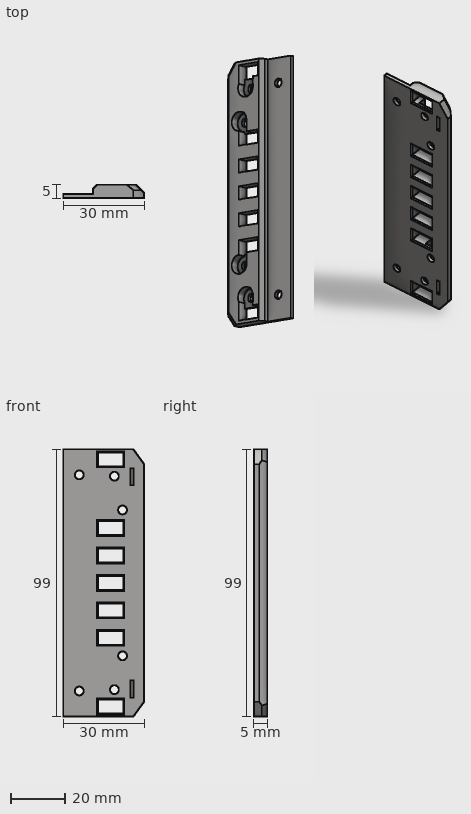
import cadquery as cq

LENGTH = 99.0
WIDTH = 30.0
THICKNESS = 5.0
MID_Z = LENGTH / 2

FLANGE_WIDTH = 11.0
FLANGE_THICKNESS = 1.6
BAR_LEFT_CHAMFER = 1.5
BAR_RIGHT_CHAMFER = 3.0

CORNER_X = 4.0
CORNER_Z = 5.5
CORNER_BACK_CHAMFER = 2.0

WINDOW_X = 17.6
WINDOW_WIDTH = 9.2
WINDOW_HEIGHT = 5.0
WINDOW_RIM = 0.5
WINDOW_PITCH = 10.16
WINDOW_ROW_COUNT = 5
ROW_END_OFFSET = (WINDOW_ROW_COUNT - 1) / 2 * WINDOW_PITCH
END_WINDOW_PITCHES = 4.5
END_WINDOW_OFFSET = END_WINDOW_PITCHES * WINDOW_PITCH

HOLE_DIAMETER = 3.2
FLANGE_HOLE_X = 6.0
FLANGE_HOLE_OFFSET = 40.0
OUTER_HOLE_X = 19.0
OUTER_HOLE_OFFSET = 39.5
INNER_HOLE_X = 22.0
INNER_HOLE_OFFSET = 27.0

HEAD_DIAMETER = 7.2
HEAD_SEAT_Y = FLANGE_THICKNESS

SLOT_X = 25.5
SLOT_WIDTH = 1.2
SLOT_HEIGHT = 6.4
SLOT_OFFSET = 39.3
SLOT_DEPTH = 2.0


def box(x, z, width, height, y_start, y_end):
    """Box centred on (x, z) that spans y_start to y_end."""
    block = cq.Workplane("XY").box(width, y_end - y_start, height)
    return block.translate((x, (y_start + y_end) / 2, z))


def rod(x, z, diameter, y_start, y_end):
    """Cylinder along Y centred on (x, z)."""
    plane = cq.Workplane("XZ", origin=(x, y_start, z))
    return plane.circle(diameter / 2).extrude(y_start - y_end)


def make_body():
    section = [
        (0, 0),
        (WIDTH, 0),
        (WIDTH, THICKNESS - BAR_RIGHT_CHAMFER),
        (WIDTH - BAR_RIGHT_CHAMFER, THICKNESS),
        (FLANGE_WIDTH + BAR_LEFT_CHAMFER, THICKNESS),
        (FLANGE_WIDTH, THICKNESS - BAR_LEFT_CHAMFER),
        (FLANGE_WIDTH, FLANGE_THICKNESS),
        (0, FLANGE_THICKNESS),
    ]
    bar = cq.Workplane("XY").polyline(section).close().extrude(LENGTH)
    outline = [
        (0, 0),
        (WIDTH - CORNER_X, 0),
        (WIDTH, CORNER_Z),
        (WIDTH, LENGTH - CORNER_Z),
        (WIDTH - CORNER_X, LENGTH),
        (0, LENGTH),
    ]
    plate = cq.Workplane("XZ").polyline(outline).close().extrude(-THICKNESS)
    for end in (-1, 1):
        corner = (WIDTH - CORNER_X / 2, THICKNESS, MID_Z + end * (LENGTH - CORNER_Z) / 2)
        edge = plate.edges(cq.selectors.NearestToPointSelector(corner))
        plate = edge.chamfer(CORNER_BACK_CHAMFER)
    return bar.intersect(plate)


def window_cutter(z):
    opening = box(WINDOW_X, z, WINDOW_WIDTH, WINDOW_HEIGHT, 0, THICKNESS)
    rim = (
        cq.Workplane("XZ", origin=(WINDOW_X, 0, z))
        .rect(WINDOW_WIDTH + 2 * WINDOW_RIM, WINDOW_HEIGHT + 2 * WINDOW_RIM)
        .workplane(offset=-WINDOW_RIM)
        .rect(WINDOW_WIDTH, WINDOW_HEIGHT)
        .loft(ruled=True)
    )
    return opening.union(rim)


def cut_windows(body):
    offsets = [i * WINDOW_PITCH - ROW_END_OFFSET for i in range(WINDOW_ROW_COUNT)]
    offsets += [-END_WINDOW_OFFSET, END_WINDOW_OFFSET]
    for offset in offsets:
        body = body.cut(window_cutter(MID_Z + offset))
    return body


def cut_head_recess(body, x, hole_offset, window_offset):
    """Round recess behind a screw hole, run out into the neighbouring window.

    The run-out stops at the right wall of the window.
    """
    hole_z = MID_Z + hole_offset
    window_z = MID_Z + window_offset
    run_left = x - HEAD_DIAMETER / 2
    run_right = min(x + HEAD_DIAMETER / 2, WINDOW_X + WINDOW_WIDTH / 2)
    run_out = box(
        (run_left + run_right) / 2,
        (hole_z + window_z) / 2,
        run_right - run_left,
        abs(window_z - hole_z),
        HEAD_SEAT_Y,
        THICKNESS,
    )
    recess = rod(x, hole_z, HEAD_DIAMETER, HEAD_SEAT_Y, THICKNESS)
    return body.cut(recess).cut(run_out)


def cut_screw_holes(body):
    hole_places = [
        (FLANGE_HOLE_X, FLANGE_HOLE_OFFSET),
        (OUTER_HOLE_X, OUTER_HOLE_OFFSET),
        (INNER_HOLE_X, INNER_HOLE_OFFSET),
    ]
    for end in (-1, 1):
        for x, offset in hole_places:
            body = body.cut(rod(x, MID_Z + end * offset, HOLE_DIAMETER, 0, THICKNESS))
        body = cut_head_recess(body, OUTER_HOLE_X, end * OUTER_HOLE_OFFSET, end * END_WINDOW_OFFSET)
        body = cut_head_recess(body, INNER_HOLE_X, end * INNER_HOLE_OFFSET, end * ROW_END_OFFSET)
    return body


def cut_slots(body):
    for end in (-1, 1):
        slot_z = MID_Z + end * SLOT_OFFSET
        body = body.cut(box(SLOT_X, slot_z, SLOT_WIDTH, SLOT_HEIGHT, 0, SLOT_DEPTH))
    return body


result = cut_slots(cut_screw_holes(cut_windows(make_body())))